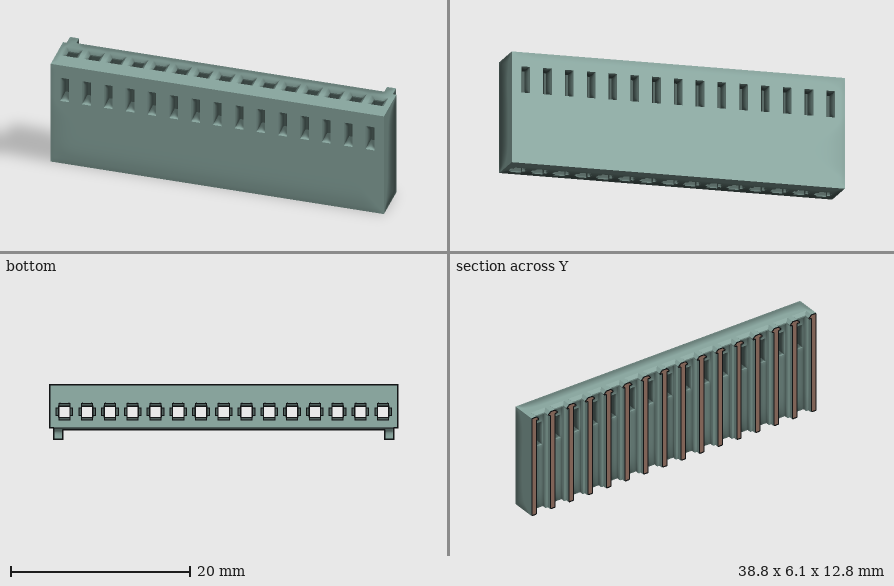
import cadquery as cq

length = 38.82
height = 12.8
body_depth = 4.8

overall_depth = 6.1
rear_bottom = 4.93
pad_back = 5.05
rib_width = 1.05
rib_end_inset = 0.43

contact_count = 15
contact_span = 35.55
contact_pitch = contact_span / (contact_count - 1)
contact_y = 3.03
neck_side = 1.25
neck_height = 0.15
lead_in = 0.35

cavity_top = height - lead_in - neck_height
cavity_span = 1.85
side_arm_width = 0.8

window_width = 1.0
window_height = 3.03
window_top = height - 1.63

contact_xs = [i * contact_pitch - contact_span / 2 for i in range(contact_count)]


def box(width, depth, tall, x, y, z):
    """Block centred in X on x, with its front face at y and its underside at z."""
    block = cq.Workplane("XY").box(width, depth, tall, centered=(True, False, False))
    return block.translate((x, y, z))


def make_housing():
    housing = box(length, body_depth, height, 0, 0, 0)
    rear_height = height - rear_bottom
    rib_x = length / 2 - rib_end_inset - rib_width / 2
    housing = housing.union(box(2 * rib_x, pad_back, rear_height, 0, 0, rear_bottom))
    for x in (-rib_x, rib_x):
        housing = housing.union(box(rib_width, overall_depth, rear_height, x, 0, rear_bottom))
    return housing


def make_contact_cutter(x):
    """Bevelled square mouth and neck, a cross-shaped cavity below, and a window to the front."""
    mouth_side = neck_side + 2 * lead_in
    mouth = (
        cq.Workplane("XY", origin=(x, contact_y, height - lead_in))
        .rect(neck_side, neck_side)
        .workplane(offset=lead_in)
        .rect(mouth_side, mouth_side)
        .loft(ruled=True)
    )
    neck = box(neck_side, neck_side, neck_height, x, contact_y - neck_side / 2, cavity_top)
    main_arm = box(neck_side, cavity_span, cavity_top, x, contact_y - cavity_span / 2, 0)
    side_arms = box(cavity_span, side_arm_width, cavity_top, x, contact_y - side_arm_width / 2, 0)
    window = box(window_width, contact_y, window_height, x, 0, window_top - window_height)
    return mouth.union(neck).union(main_arm).union(side_arms).union(window)


result = make_housing()
for contact_x in contact_xs:
    result = result.cut(make_contact_cutter(contact_x))